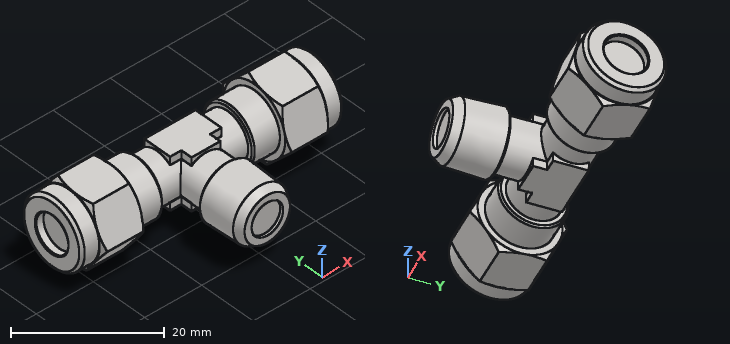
import cadquery as cq
import math

run_half = 23.0
branch_reach = 16.45

neck_radius = 4.0
shoulder_radius = 4.95
shoulder_start = 7.85
shoulder_chamfer = 0.28

block_half = 4.5
block_arm_half = 2.55

nut_flats = 12.0
nut_corner_radius = nut_flats / math.sqrt(3)
nut_start = 12.55
nut_end = 19.95
nut_chamfer_angle = 30.0
left_nut_angle = 6.3
right_nut_angle = 15.0
cap_radius = 5.9
cap_chamfer = 0.5

socket_radius = 3.15
socket_depth = 1.4
socket_chamfer = 0.15

taper_start = 8.65
taper_start_chamfer = 0.25
taper_large_radius = 5.0
taper_small_radius = 4.8
taper_tip_length = 1.4
branch_tip_radius = 4.0
branch_bore_radius = 2.75
branch_bore_depth = 0.55


def x_cylinder(radius, start, end):
    """Cylinder on the X axis between two stations."""
    return cq.Workplane("YZ").workplane(offset=start).circle(radius).extrude(end - start)


def make_nut(corner_angle):
    """Hex nut with 30 degree chamfers on both faces; the angle turns a corner from +Y to +Z."""
    hexagon = (
        cq.Workplane("YZ")
        .workplane(offset=nut_start)
        .polygon(6, 2 * nut_corner_radius)
        .extrude(nut_end - nut_start)
        .rotate((0, 0, 0), (1, 0, 0), corner_angle)
    )
    face_radius = nut_flats / 2
    chamfer_length = (nut_corner_radius - face_radius) * math.tan(math.radians(nut_chamfer_angle))
    chamfer_envelope = (
        cq.Workplane("XY")
        .moveTo(nut_start, 0)
        .lineTo(nut_start, face_radius)
        .lineTo(nut_start + chamfer_length, nut_corner_radius)
        .lineTo(nut_end - chamfer_length, nut_corner_radius)
        .lineTo(nut_end, face_radius)
        .lineTo(nut_end, 0)
        .close()
        .revolve(360, (0, 0, 0), (1, 0, 0))
    )
    return hexagon.intersect(chamfer_envelope)


def make_run_end(corner_angle):
    """Shoulder, nut, cap and tube socket of the +X run end."""
    shoulder = x_cylinder(shoulder_radius, shoulder_start, nut_end).faces("<X").chamfer(shoulder_chamfer)
    cap = x_cylinder(cap_radius, nut_end, run_half).faces(">X").chamfer(cap_chamfer)
    socket = x_cylinder(socket_radius, run_half - socket_depth, run_half)
    run_end = shoulder.union(make_nut(corner_angle)).union(cap).cut(socket)
    socket_rim = run_end.faces(">X").edges(cq.selectors.RadiusNthSelector(0))
    return socket_rim.chamfer(socket_chamfer)


def make_block():
    """T-shaped block shared by the run and the branch."""
    run_arm = cq.Workplane("XY").box(2 * block_half, 2 * block_arm_half, 2 * block_half)
    branch_arm = (
        cq.Workplane("XY")
        .box(2 * block_arm_half, block_half, 2 * block_half)
        .translate((0, -block_half / 2, 0))
    )
    return run_arm.union(branch_arm)


def make_branch():
    """Branch neck and tapered end with a shallow bore, revolved about the Y axis."""
    return (
        cq.Workplane("XY")
        .lineTo(neck_radius, 0)
        .lineTo(neck_radius, -taper_start)
        .lineTo(taper_large_radius - taper_start_chamfer, -taper_start)
        .lineTo(taper_large_radius, -taper_start - taper_start_chamfer)
        .lineTo(taper_small_radius, -branch_reach + taper_tip_length)
        .lineTo(branch_tip_radius, -branch_reach)
        .lineTo(branch_bore_radius, -branch_reach)
        .lineTo(branch_bore_radius, -branch_reach + branch_bore_depth)
        .lineTo(0, -branch_reach + branch_bore_depth)
        .close()
        .revolve(360, (0, 0, 0), (0, 1, 0))
    )


run_neck = x_cylinder(neck_radius, -shoulder_start, shoulder_start)
right_end = make_run_end(right_nut_angle)
left_end = make_run_end(left_nut_angle).mirror("YZ")

result = run_neck.union(make_branch()).union(make_block()).union(right_end).union(left_end)